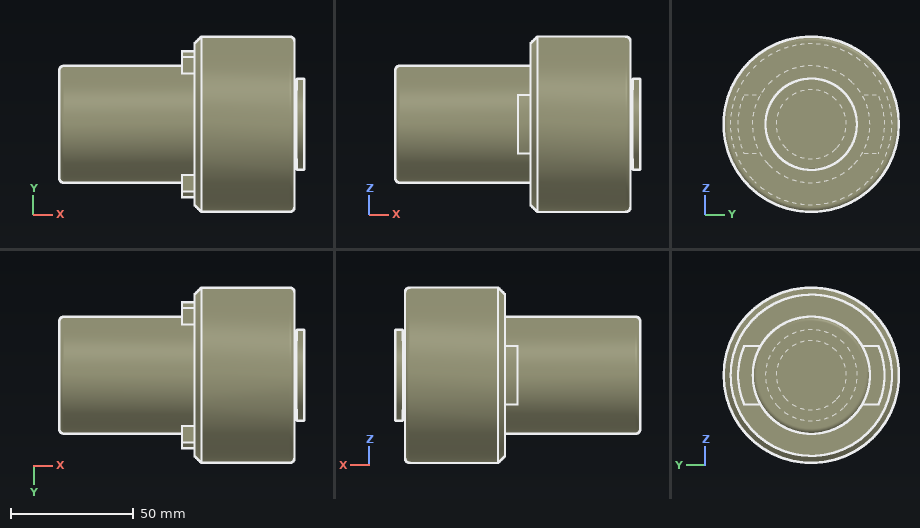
import cadquery as cq

total_length = 100.5
shaft_diameter = 48.0
shaft_end_fillet = 2.0
drum_diameter = 72.0
drum_start = 55.4
drum_end = 96.5
drum_chamfer = 2.9
drum_end_fillet = 2.0
key_diameter = 60.0
key_height = 24.0
key_length = 5.0
disc_diameter = 37.5
disc_thickness = 3.2
disc_edge_fillet = 0.6
neck_diameter = 28.5

disc_start = total_length - disc_thickness


def cylinder(diameter, start, end):
    """Solid cylinder on the X axis between two stations."""
    return cq.Workplane("YZ", origin=(start, 0, 0)).circle(diameter / 2).extrude(end - start)


def make_shaft():
    shaft = cylinder(shaft_diameter, 0, drum_start)
    return shaft.faces("<X").edges().fillet(shaft_end_fillet)


def make_drum():
    drum = cylinder(drum_diameter, drum_start, drum_end)
    drum = drum.faces("<X").edges().chamfer(drum_chamfer)
    return drum.faces(">X").edges().fillet(drum_end_fillet)


def make_keys():
    """Flat-sided band across the shaft, leaving one round-faced key on each side."""
    key_start = drum_start - key_length
    band = cq.Workplane("YZ", origin=(key_start, 0, 0)).rect(key_diameter, key_height).extrude(key_length)
    return cylinder(key_diameter, key_start, drum_start).intersect(band)


def make_end_disc():
    neck = cylinder(neck_diameter, drum_end, disc_start)
    disc = cylinder(disc_diameter, disc_start, total_length)
    disc = disc.faces("<X or >X").edges().fillet(disc_edge_fillet)
    return neck.union(disc)


result = make_drum().union(make_shaft()).union(make_keys()).union(make_end_disc())